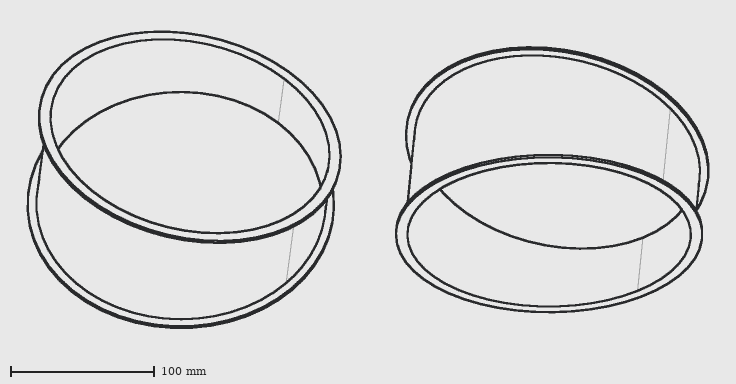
import cadquery as cq

flange_radius = 107.0
flange_thickness = 2.0
tube_outer_radius = 101.0
wall_thickness = 2.0
tilt_angle = 15.0
upper_centre_y = 9.39
upper_centre_z = 71.55

tube_inner_radius = tube_outer_radius - wall_thickness

lower_plane = cq.Plane.XY()
upper_centre = (0, upper_centre_y, upper_centre_z)
upper_plane = cq.Plane(origin=upper_centre).rotated((-tilt_angle, 0, 0))


def lofted_body(radius):
    """Solid with straight sides joining equal circles on the two end planes."""
    lower_circle = cq.Wire.makeCircle(radius, lower_plane.origin, lower_plane.zDir)
    upper_circle = cq.Wire.makeCircle(radius, upper_plane.origin, upper_plane.zDir)
    return cq.Workplane(cq.Solid.makeLoft([lower_circle, upper_circle]))


def flange(end_plane, thickness):
    """Disc on an end plane; a negative thickness grows it below the plane."""
    return cq.Workplane(end_plane).circle(flange_radius).extrude(thickness)


result = (
    lofted_body(tube_outer_radius)
    .union(flange(lower_plane, flange_thickness))
    .union(flange(upper_plane, -flange_thickness))
    .cut(lofted_body(tube_inner_radius))
)